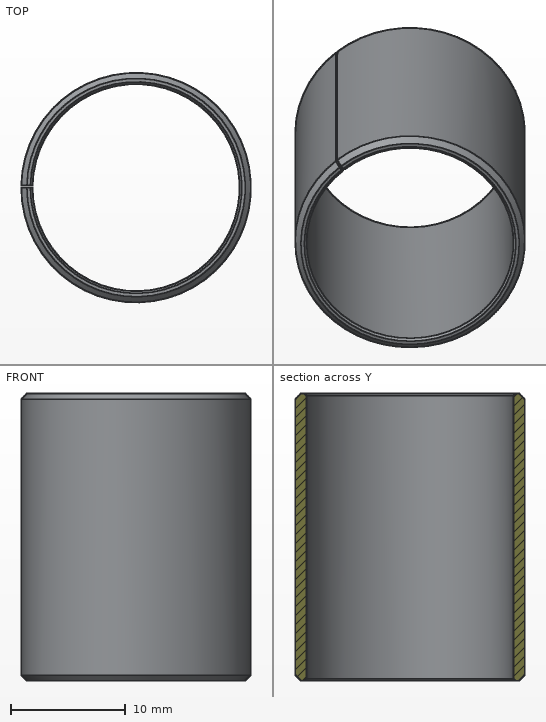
import cadquery as cq

length = 25.0
outer_diameter = 20.0
wall = 1.0
outer_chamfer = 0.5
inner_chamfer = 0.2
slit_angle = 1.0

outer_radius = outer_diameter / 2
inner_radius = outer_radius - wall


def make_wall_section():
    """Wall cross-section on the -X side, chamfered at all four corners."""
    return (
        cq.Workplane("XZ")
        .moveTo(-outer_radius, outer_chamfer)
        .lineTo(-outer_radius + outer_chamfer, 0)
        .lineTo(-inner_radius - inner_chamfer, 0)
        .lineTo(-inner_radius, inner_chamfer)
        .lineTo(-inner_radius, length - inner_chamfer)
        .lineTo(-inner_radius - inner_chamfer, length)
        .lineTo(-outer_radius + outer_chamfer, length)
        .lineTo(-outer_radius, length - outer_chamfer)
        .close()
    )


result = make_wall_section().revolve(360 - slit_angle, (0, 0, 0), (0, 1, 0))